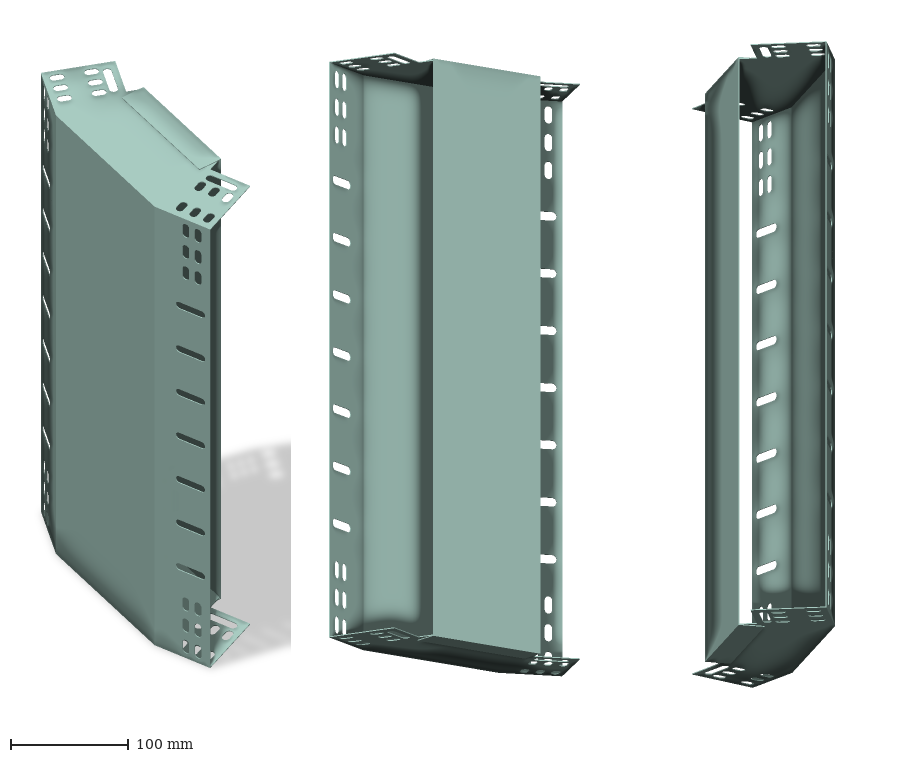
import cadquery as cq
import math

sheet = 0.8
overall_length = 503.0
tray_length = overall_length - 2 * sheet
half_length = tray_length / 2
floor_width = 142.5
wing_width = 55.5
wing_angle = 22.5
end_depth = 65.0
shoulder_width = 40.0

cover_width = 112.0
cover_flange_depth = 22.5
cover_setback = 0.5

end_slot_width = 6.5
end_slot_length = 15.0
end_slot_first = 13.0
end_slot_pitch = 24.0
end_slot_count = 3
end_slot_columns = (12.0, 24.0)
cross_slot_length = 29.0
cross_slot_width = 7.5
cross_slot_offset = 19.5
cross_slot_count = 7
cross_slot_pitch = 50.0

plate_slot_length = 12.5
plate_slot_width = 7.0
plate_slot_first = 8.5
plate_slot_pitch = 13.5
plate_slot_count = 3
plate_slot_rows = (12.0, 42.5)
long_slot_length = 30.0
long_slot_width = 7.5
long_slot_depth = 55.5
long_slot_inward = 22.5

cos_wing = math.cos(math.radians(wing_angle))
sin_wing = math.sin(math.radians(wing_angle))
half_floor = floor_width / 2
wing_edge_x = -half_floor - wing_width * cos_wing
wing_edge_y = wing_width * sin_wing
ear_tip_y = wing_edge_y + end_depth * cos_wing
cover_outer_y = ear_tip_y - cover_setback
cover_inner_y = cover_outer_y - sheet


def left_wing_point(inward, depth):
    """XY point measured along the left wing from its free edge, and square to it into the tray."""
    return (
        wing_edge_x + inward * cos_wing + depth * sin_wing,
        wing_edge_y - inward * sin_wing + depth * cos_wing,
    )


def mirrored(point):
    return (-point[0], point[1])


def both_sides(left_points):
    """Close a left half outline with its mirror image across the YZ plane."""
    return left_points + [mirrored(point) for point in reversed(left_points)]


def prism(points, bottom, height):
    return cq.Workplane("XY").workplane(offset=bottom).polyline(points).close().extrude(height)


def tray_sheet():
    """Floor and two raised wings, bent from one sheet."""
    inner_half_floor = half_floor - sheet * math.tan(math.radians(wing_angle / 2))
    outer = [left_wing_point(0, 0), (-half_floor, 0)]
    inner = [(-inner_half_floor, sheet), left_wing_point(0, sheet)]
    right_outer = [mirrored(point) for point in reversed(outer)]
    right_inner = [mirrored(point) for point in reversed(inner)]
    return prism(outer + right_outer + right_inner + inner, -half_length, tray_length)


def end_plate(bottom):
    """End wall with a shouldered ear on each side and a raised middle under the cover."""
    shoulder = left_wing_point(shoulder_width, end_depth)
    middle_x = shoulder[0] + (cover_inner_y - shoulder[1]) * math.tan(math.radians(wing_angle))
    left_outline = [
        (-half_floor, 0),
        left_wing_point(0, 0),
        left_wing_point(0, end_depth),
        shoulder,
        (middle_x, cover_inner_y),
    ]
    return prism(both_sides(left_outline), bottom, sheet)


def end_plate_slots():
    """Cutters for the left ears, running through both end plates."""

    def slot(inward, depth, length, width, angle):
        return (
            cq.Workplane("XY")
            .workplane(offset=-half_length)
            .center(*left_wing_point(inward, depth))
            .slot2D(length, width, angle)
            .extrude(tray_length)
        )

    cutters = [slot(long_slot_inward, long_slot_depth, long_slot_length, long_slot_width, -wing_angle)]
    for depth in plate_slot_rows:
        for index in range(plate_slot_count):
            inward = plate_slot_first + index * plate_slot_pitch
            cutters.append(slot(inward, depth, plate_slot_length, plate_slot_width, 90 - wing_angle))
    return cutters


def wing_slots():
    """Cutters through the left wing; the local x axis runs inward along the wing."""
    wing_plane = cq.Plane(
        origin=(wing_edge_x, wing_edge_y, 0),
        xDir=(cos_wing, -sin_wing, 0),
        normal=(-sin_wing, -cos_wing, 0),
    )
    end_slot_centres = []
    for inward in end_slot_columns:
        for index in range(end_slot_count):
            height = half_length - end_slot_first - index * end_slot_pitch
            end_slot_centres += [(inward, height), (inward, -height)]
    end_slots = (
        cq.Workplane(wing_plane)
        .pushPoints(end_slot_centres)
        .slot2D(end_slot_length, end_slot_width, 90)
        .extrude(sheet, both=True)
    )
    cross_slots = (
        cq.Workplane(wing_plane)
        .center(cross_slot_offset, 0)
        .rarray(5, cross_slot_pitch, 1, cross_slot_count)
        .slot2D(cross_slot_length, cross_slot_width)
        .extrude(sheet, both=True)
    )
    return [end_slots, cross_slots]


def make_tray():
    body = tray_sheet()
    for bottom in (-half_length, half_length - sheet):
        body = body.union(end_plate(bottom))
    for cutter in end_plate_slots() + wing_slots():
        body = body.cut(cutter).cut(cutter.mirror("YZ"))
    return body


def make_cover():
    """Strip across the open side, with end flanges lying on the outside of the end plates."""
    flange_y = cover_outer_y - cover_flange_depth
    profile = [
        (flange_y, -overall_length / 2),
        (cover_outer_y, -overall_length / 2),
        (cover_outer_y, overall_length / 2),
        (flange_y, overall_length / 2),
        (flange_y, half_length),
        (cover_inner_y, half_length),
        (cover_inner_y, -half_length),
        (flange_y, -half_length),
    ]
    return cq.Workplane("YZ").polyline(profile).close().extrude(cover_width / 2, both=True)


tray = make_tray()
cover = make_cover()

result = cq.Compound.makeCompound([tray.val(), cover.val()])